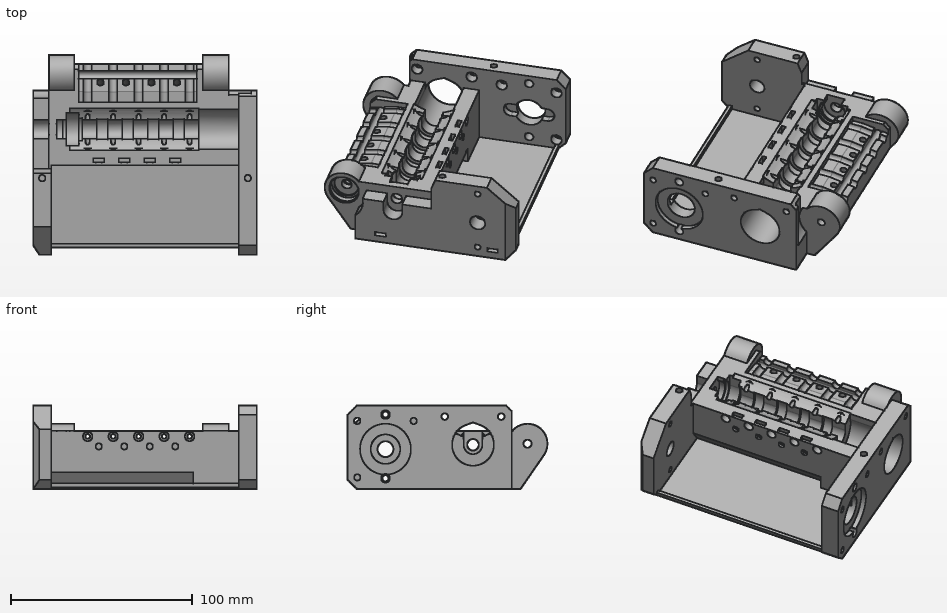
import cadquery as cq
import math

LENGTH = 123.0
DEPTH = 109.98
HEIGHT = 46.0
WALL = 10.0
WALL_BACK = 90.4
RIGHT_INNER = LENGTH - WALL
EDGE_CHAMFER = 5.2
EPS = 1.0

FLOOR_TOP = 1.0
LIP_TOP = 3.2
LIP_BACK = 6.0
LIP_NOSE = 1.2

BLOCK_LEFT = 8.7
BLOCK_FRONT = 49.2
BLOCK_TOP = 32.0
UNDERCUT_RIGHT = 88.1
UNDERCUT_TOP = 9.3
UNDERCUT_BACK = 54.3

LUG_R = 11.0
PIVOT_Y = DEPTH - LUG_R
PIVOT_Z = 25.0
LUG_FOOT_Y = 95.1
LEFT_LUG = (BLOCK_LEFT, 22.65)
RIGHT_LUG = (93.2, 107.65)
ARM_GAP = 2.0
ARM_CLEARANCE_R = LUG_R + ARM_GAP
ROD_R = 2.15
CROSSBAR_BACK = 105.0
CROSSBAR_CHAMFER = 3.0

CAM_Y = 69.0
CAM_Z = 24.4
CAM_R = 5.15
PITCH = 14.0
FIRST_PIN_X = 30.0
PIN_COUNT = 5
PIN_Z = 29.0
FIRST_SCREW_X = 36.1
GAP_COUNT = PIN_COUNT - 1
MOTOR_BORE_R = 11.5
MOTOR_BORE_LEFT = 91.1
MOTOR_HALF = 15.5

POCKET_X = (25.0, 90.0)
POCKET_FRONT = 83.9
POCKET_BEND = 89.8
POCKET_TILT = 10.0

DRIVE_Y = 20.9
DRIVE_Z = 22.0


def box(x0, x1, y0, y1, z0, z1):
    return cq.Workplane("XY").box(x1 - x0, y1 - y0, z1 - z0, centered=False).translate((x0, y0, z0))


def prism_x(points, x0, x1):
    """Extrude a (Y, Z) outline from x0 to x1."""
    return cq.Workplane("YZ").workplane(offset=x0).polyline(points).close().extrude(x1 - x0)


def rod_x(radius, y, z, x0, x1):
    return cq.Workplane("YZ").workplane(offset=x0).center(y, z).circle(radius).extrude(x1 - x0)


def rod_y(radius, x, z, y0, y1):
    return cq.Workplane(cq.Plane((x, y0, z), (1, 0, 0), (0, 1, 0))).circle(radius).extrude(y1 - y0)


def rod_z(radius, x, y, z0, z1):
    return cq.Workplane("XY").workplane(offset=z0).center(x, y).circle(radius).extrude(z1 - z0)


def open_channel(radius, y, z, x0, x1):
    """Round-bottomed channel with upright sides, open at the top."""
    sides = box(x0, x1, y - radius, y + radius, z, HEIGHT)
    return rod_x(radius, y, z, x0, x1).union(sides)


def merge(bodies):
    merged = bodies[0]
    for body in bodies[1:]:
        merged = merged.union(body)
    return merged


def left_wall():
    slope_back = 15.6
    slope_bottom = 32.9
    step_top_y = 44.9
    step_y = 47.3
    step_z = 39.9
    ledge_z = 27.0
    outline = [
        (EDGE_CHAMFER, 0), (0, EDGE_CHAMFER), (0, slope_bottom), (slope_back, HEIGHT),
        (step_top_y, HEIGHT), (step_y, step_z), (step_y, BLOCK_TOP),
        (WALL_BACK, BLOCK_TOP), (WALL_BACK, 0),
    ]
    wall = prism_x(outline, 0, WALL)
    wall = wall.cut(box(0, BLOCK_LEFT, step_y, WALL_BACK, ledge_z, BLOCK_TOP))
    corner_x = 3.5
    corner = cq.Workplane("XY").polyline([(0, 0), (corner_x, 0), (0, EDGE_CHAMFER)]).close()
    return wall.cut(corner.extrude(HEIGHT))


def right_wall():
    back_chamfer = 3.25
    c = EDGE_CHAMFER
    outline = [
        (c, 0), (0, c), (0, HEIGHT - c), (c, HEIGHT), (WALL_BACK - back_chamfer, HEIGHT),
        (WALL_BACK, HEIGHT - back_chamfer), (WALL_BACK, 0),
    ]
    return prism_x(outline, RIGHT_INNER, LENGTH)


def floor_plate():
    lip_front = EDGE_CHAMFER - LIP_NOSE
    outline = [
        (EDGE_CHAMFER, 0), (lip_front, LIP_NOSE), (lip_front, LIP_TOP), (LIP_BACK, LIP_TOP),
        (LIP_BACK, FLOOR_TOP), (UNDERCUT_BACK, FLOOR_TOP), (UNDERCUT_BACK, 0),
    ]
    return prism_x(outline, WALL, RIGHT_INNER)


def lug(x0, x1):
    """Round eye with a straight flank running down to the base."""
    reach = math.hypot(PIVOT_Y - LUG_FOOT_Y, PIVOT_Z)
    flank = math.atan2(PIVOT_Z, PIVOT_Y - LUG_FOOT_Y) - math.asin(LUG_R / reach)
    tangent_length = math.sqrt(reach ** 2 - LUG_R ** 2)
    tangent = (LUG_FOOT_Y + tangent_length * math.cos(flank), tangent_length * math.sin(flank))
    web = [
        (WALL_BACK - EPS, 0), (LUG_FOOT_Y, 0), tangent, (PIVOT_Y, PIVOT_Z),
        (PIVOT_Y, BLOCK_TOP), (WALL_BACK - EPS, BLOCK_TOP),
    ]
    return prism_x(web, x0, x1).union(rod_x(LUG_R, PIVOT_Y, PIVOT_Z, x0, x1))


def crossbar():
    """Body between the lugs: the lug flank, cut off upright at the rear."""
    bar = lug(LEFT_LUG[1], RIGHT_LUG[0])
    block = box(LEFT_LUG[1], RIGHT_LUG[0], WALL_BACK - EPS, CROSSBAR_BACK, PIVOT_Z, BLOCK_TOP)
    bar = bar.union(block)
    bar = bar.intersect(box(LEFT_LUG[1], RIGHT_LUG[0], 0, CROSSBAR_BACK, 0, BLOCK_TOP))
    c = CROSSBAR_CHAMFER
    corner = [(CROSSBAR_BACK - c, BLOCK_TOP), (CROSSBAR_BACK, BLOCK_TOP), (CROSSBAR_BACK, BLOCK_TOP - c)]
    return bar.cut(prism_x(corner, LEFT_LUG[1], RIGHT_LUG[0]))


def cam_block():
    block = box(BLOCK_LEFT, RIGHT_INNER, BLOCK_FRONT, WALL_BACK, 0, BLOCK_TOP)
    undercut = [(BLOCK_FRONT, FLOOR_TOP), (BLOCK_FRONT, UNDERCUT_TOP), (UNDERCUT_BACK, FLOOR_TOP)]
    return block.cut(prism_x(undercut, WALL, UNDERCUT_RIGHT))


def arm_clearance():
    """Space swept by the mating arm outside the two lugs."""
    right_end = 119.8
    right_stop_y = 88.75
    left = rod_x(ARM_CLEARANCE_R, PIVOT_Y, PIVOT_Z, 0, BLOCK_LEFT)
    right = rod_x(ARM_CLEARANCE_R, PIVOT_Y, PIVOT_Z, RIGHT_LUG[1], right_end)
    channel = box(RIGHT_INNER, right_end, right_stop_y, WALL_BACK, PIVOT_Z, HEIGHT)
    return left.union(right).union(channel)


def pivot_bores():
    """Rod bore through both lugs, with a stepped bearing seat in the left one."""
    lead_in = (8.4, 1.6)
    bearing_seat = (8.2, 5.0)
    relief = (6.9, 6.0)
    rod_clearance = (2.8, 10.0)
    x0 = LEFT_LUG[0]
    bores = rod_x(ROD_R, PIVOT_Y, PIVOT_Z, x0, RIGHT_LUG[1])
    for radius, depth in (lead_in, bearing_seat, relief, rod_clearance):
        bores = bores.union(rod_x(radius, PIVOT_Y, PIVOT_Z, x0, x0 + depth))
    return bores


def cam_channel():
    """Dished camshaft channel with its bearing seat, shaft hole and room for each cam."""
    dish_r = 19.8
    dish_half = 11.5
    dish_left = 20.2
    dish_z = BLOCK_TOP + math.sqrt(dish_r ** 2 - dish_half ** 2)
    shaft_r = 3.1
    slot_r = 5.3
    slot_z = 21.6
    end_left = 13.0
    neck_r = 7.0
    collar_left = 16.4
    collar_r = 8.2
    bearing = (18.25, 25.1)
    bearing_r = 9.15
    shoulder_right = 27.0
    shoulder_r = 7.9
    cam_clear_r = 7.2
    cam_clear_half = 3.05
    first_cam_x = 38.0

    cut = rod_x(dish_r, CAM_Y, dish_z, dish_left, MOTOR_BORE_LEFT)
    cut = cut.union(open_channel(CAM_R, CAM_Y, CAM_Z, bearing[0], MOTOR_BORE_LEFT))
    cut = cut.union(box(end_left, bearing[0], CAM_Y - CAM_R, CAM_Y + CAM_R, CAM_Z, HEIGHT))
    cut = cut.union(rod_x(neck_r, CAM_Y, CAM_Z, end_left, collar_left))
    cut = cut.union(rod_x(collar_r, CAM_Y, CAM_Z, collar_left, bearing[0]))
    cut = cut.union(open_channel(bearing_r, CAM_Y, CAM_Z, *bearing))
    cut = cut.union(open_channel(slot_r, CAM_Y, slot_z, 0, BLOCK_LEFT))
    cut = cut.union(rod_x(shaft_r, CAM_Y, CAM_Z, 0, end_left))
    cut = cut.union(rod_x(shoulder_r, CAM_Y, CAM_Z, bearing[1], shoulder_right))
    for i in range(GAP_COUNT):
        x = first_cam_x + i * PITCH
        cut = cut.union(rod_x(cam_clear_r, CAM_Y, CAM_Z, x - cam_clear_half, x + cam_clear_half))
    return cut


def motor_bore():
    """Motor bore, open at the top in the block and with a peaked roof in the wall."""
    opening_half = 10.95
    peak = 12.2
    lean = math.acos(MOTOR_BORE_R / peak)
    touch_y = MOTOR_BORE_R * math.sin(lean)
    touch_z = CAM_Z + MOTOR_BORE_R * math.cos(lean)
    roof = [
        (CAM_Y, CAM_Z), (CAM_Y - touch_y, touch_z), (CAM_Y, CAM_Z + peak), (CAM_Y + touch_y, touch_z),
    ]
    bore = rod_x(MOTOR_BORE_R, CAM_Y, CAM_Z, MOTOR_BORE_LEFT, LENGTH)
    opening_y = (CAM_Y - opening_half, CAM_Y + opening_half)
    opening = box(MOTOR_BORE_LEFT, RIGHT_INNER, *opening_y, CAM_Z, BLOCK_TOP)
    bore = bore.union(opening)
    return bore.union(prism_x(roof, RIGHT_INNER, LENGTH))


def pin_holes():
    """Rows of pin holes along Y, widening to spring bores in front and guide grooves behind."""
    hole_r = 1.25
    spring_r = 2.6
    spring_end = 58.5
    guide_r = 2.3
    guide_start = 79.0
    cuts = []
    for i in range(PIN_COUNT):
        x = FIRST_PIN_X + i * PITCH
        row = rod_y(hole_r, x, PIN_Z, BLOCK_FRONT, POCKET_FRONT)
        row = row.union(rod_y(spring_r, x, PIN_Z, BLOCK_FRONT, spring_end))
        row = row.union(rod_y(guide_r, x, PIN_Z, guide_start, POCKET_BEND))
        tilted = rod_y(guide_r, x, PIN_Z, POCKET_BEND, CROSSBAR_BACK + EPS)
        row = row.union(tilt_down(tilted))
        cuts.append(row)
    return merge(cuts)


def tilt_down(body):
    """Swing a body downwards about the bend line of the pocket floor."""
    return body.rotate((0, POCKET_BEND, PIN_Z), (1, POCKET_BEND, PIN_Z), -POCKET_TILT)


def rear_pocket():
    """Pocket with a floor that falls away to the rear, a rod groove and deep holes."""
    hole_r = 1.8
    hole_y = 94.9
    first_hole_x = FIRST_PIN_X + PITCH / 2
    hole_depth = 20.0
    fall_run = CROSSBAR_BACK + EPS - POCKET_BEND
    end_z = PIN_Z - fall_run * math.tan(math.radians(POCKET_TILT))
    outline = [
        (POCKET_FRONT, PIN_Z), (POCKET_BEND, PIN_Z), (CROSSBAR_BACK + EPS, end_z),
        (CROSSBAR_BACK + EPS, HEIGHT), (POCKET_FRONT, HEIGHT),
    ]
    cut = prism_x(outline, *POCKET_X)
    cut = cut.union(open_channel(ROD_R, PIVOT_Y, PIVOT_Z, *POCKET_X))
    for i in range(GAP_COUNT):
        hole = rod_z(hole_r, first_hole_x + i * PITCH, hole_y, PIN_Z - hole_depth, PIN_Z)
        cut = cut.union(tilt_down(hole))
    return cut


def block_screws():
    """Blind screw holes in the front of the block, each with a nut slot from the top."""
    hole_r = 1.75
    hole_z = 23.5
    hole_depth = 10.0
    nut_half = 3.0
    nut_y = (50.85, 53.05)
    cuts = []
    for i in range(GAP_COUNT):
        x = FIRST_SCREW_X + i * PITCH
        hole = rod_y(hole_r, x, hole_z, BLOCK_FRONT, BLOCK_FRONT + hole_depth)
        slot = box(x - nut_half, x + nut_half, *nut_y, hole_z - nut_half, BLOCK_TOP)
        cuts.append(hole.union(slot))
    return merge(cuts)


def motor_screws():
    """Counterbored mounting holes of both motors through the right wall."""
    head_r = 3.0
    head_depth = 6.0
    hole_r = 1.75
    places = [
        (CAM_Y - MOTOR_HALF, CAM_Z + MOTOR_HALF), (CAM_Y + MOTOR_HALF, CAM_Z + MOTOR_HALF),
        (DRIVE_Y - MOTOR_HALF, DRIVE_Z + MOTOR_HALF), (DRIVE_Y + MOTOR_HALF, DRIVE_Z + MOTOR_HALF),
        (DRIVE_Y - MOTOR_HALF, DRIVE_Z - MOTOR_HALF),
    ]
    cuts = []
    for y, z in places:
        hole = rod_x(hole_r, y, z, RIGHT_INNER, LENGTH)
        hole = hole.union(rod_x(head_r, y, z, RIGHT_INNER, RIGHT_INNER + head_depth))
        cuts.append(hole)
    return merge(cuts)


def drive_opening():
    """Drive motor opening: motor recess outside, coupling hole and a shallow slot inside."""
    coupling_r = 8.1
    recess_r = 14.0
    recess_depth = 2.9
    slot_length = 28.8
    slot_width = 7.8
    slot_depth = 4.2
    slot = cq.Workplane("YZ").workplane(offset=RIGHT_INNER).center(DRIVE_Y, DRIVE_Z)
    slot = slot.slot2D(slot_length, slot_width).extrude(slot_depth)
    cut = rod_x(coupling_r, DRIVE_Y, DRIVE_Z, RIGHT_INNER, LENGTH)
    cut = cut.union(rod_x(recess_r, DRIVE_Y, DRIVE_Z, LENGTH - recess_depth, LENGTH))
    return cut.union(slot)


def side_holes():
    """Shaft and tie holes along X, and blind holes in the wall tops."""
    shaft_r = 4.3
    tie_half = 17.5
    tie_z = 23.5
    left_tie_r = 1.65
    right_tie_r = 2.4
    top_hole_r = 1.8
    top_hole_y = 42.2
    top_hole_depth = 10.0
    cut = rod_x(shaft_r, DRIVE_Y, DRIVE_Z, 0, WALL)
    for z in (tie_z - tie_half, tie_z + tie_half):
        cut = cut.union(rod_x(left_tie_r, DRIVE_Y, z, 0, WALL))
        cut = cut.union(rod_x(right_tie_r, DRIVE_Y, z, RIGHT_INNER, LENGTH))
    for x in (WALL / 2, LENGTH - WALL / 2):
        cut = cut.union(rod_z(top_hole_r, x, top_hole_y, HEIGHT - top_hole_depth, HEIGHT))
    return cut


def base_nut_slots():
    """Nut slots entering the left face just above the base."""
    depth = 8.0
    z0 = 4.05
    z1 = 6.2
    front_y = (9.5, 15.5)
    rear_y = (73.0, 79.3)
    return box(0, depth, *front_y, z0, z1).union(box(0, depth, *rear_y, z0, z1))


result = left_wall().union(right_wall()).union(floor_plate()).union(cam_block())
result = result.union(lug(*LEFT_LUG)).union(lug(*RIGHT_LUG)).union(crossbar())
result = result.cut(arm_clearance()).cut(pivot_bores())
result = result.cut(cam_channel()).cut(motor_bore())
result = result.cut(rear_pocket()).cut(pin_holes()).cut(block_screws())
result = result.cut(motor_screws()).cut(drive_opening())
result = result.cut(side_holes()).cut(base_nut_slots())